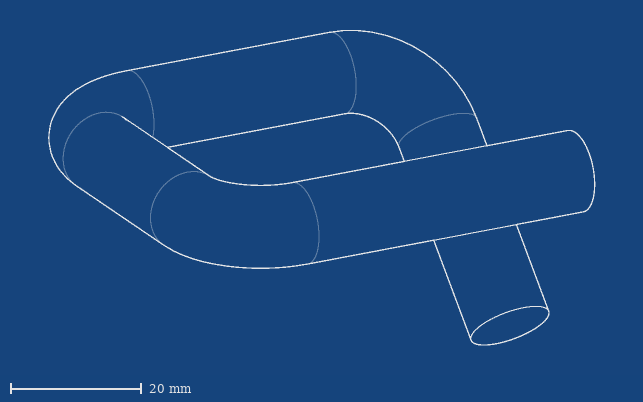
import cadquery as cq
import math

bar_diameter = 12.7
bend_radius = bar_diameter
base_length = 53.975
leg_length = 60.325
tail_length = 46.0375
tail_drop_angle = 45.0

drop = math.radians(tail_drop_angle)
left_corner = cq.Vector(0, 0, 0)
right_corner = cq.Vector(base_length, 0, 0)
right_leg_end = right_corner + cq.Vector(0, leg_length, 0)
tail_corner = left_corner + cq.Vector(0, leg_length, 0)
tail_direction = cq.Vector(math.cos(drop), 0, -math.sin(drop))
tail_end = tail_corner + tail_direction * tail_length


def bend_points(before, corner, after):
    """Start, middle and end of the arc that rounds a corner of the centerline."""
    to_before = (before - corner).normalized()
    to_after = (after - corner).normalized()
    half_angle = to_before.getAngle(to_after) / 2
    setback = bend_radius / math.tan(half_angle)
    middle_distance = bend_radius / math.sin(half_angle) - bend_radius
    start = corner + to_before * setback
    middle = corner + (to_before + to_after).normalized() * middle_distance
    end = corner + to_after * setback
    return start, middle, end


def rounded_centerline(corners):
    """Straight runs joined by tangent arcs at every inner corner."""
    edges = []
    run_start = corners[0]
    for before, corner, after in zip(corners, corners[1:], corners[2:]):
        start, middle, end = bend_points(before, corner, after)
        edges.append(cq.Edge.makeLine(run_start, start))
        edges.append(cq.Edge.makeThreePointArc(start, middle, end))
        run_start = end
    edges.append(cq.Edge.makeLine(run_start, corners[-1]))
    return cq.Wire.assembleEdges(edges)


centerline = rounded_centerline([right_leg_end, right_corner, left_corner, tail_corner, tail_end])

end_plane = cq.Plane(origin=right_leg_end, xDir=(1, 0, 0), normal=(0, -1, 0))
result = cq.Workplane(end_plane).circle(bar_diameter / 2).sweep(cq.Workplane(centerline))